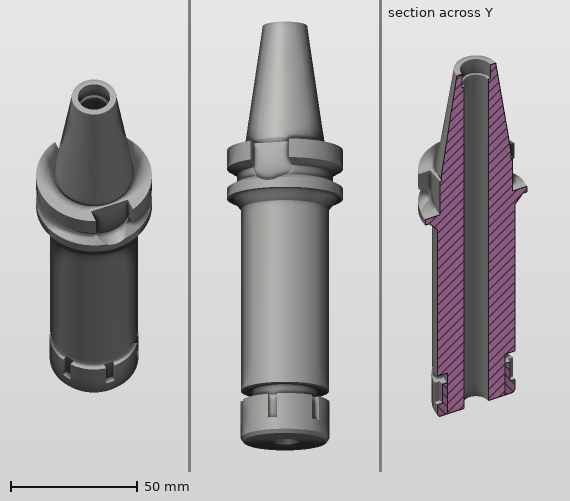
import cadquery as cq
import math

OVERALL_LENGTH = 168.4

TAPER_LENGTH = 48.3
TAPER_RATIO = 7 / 24
TAPER_TOP_DIAMETER = 17.7
GAUGE_TO_FLANGE = 2.0
RELIEF_DIAMETER = 31.0

FLANGE_DIAMETER = 46.0
UPPER_RIM_HEIGHT = 7.5
GROOVE_FLANK_ANGLE = 30
GROOVE_FLOOR_HEIGHT = 3.4
GROOVE_DIAMETER = 37.9
LOWER_RIM_HEIGHT = 4.0
SHOULDER_DIAMETER = 42.0
SHOULDER_HEIGHT = 4.2

KEYWAY_WIDTH = 15.8
KEYWAY_HEIGHT = 16.7
KEYWAY_FLOOR_OFFSET = 16.3

BODY_DIAMETER = 35.0
NOSE_DIAMETER = 26.3
NOSE_GAP = 4.5

BORE_DIAMETER = 10.6
COUNTERBORE_DIAMETER = 12.8
COUNTERBORE_DEPTH = 6.9

NUT_DIAMETER = 35.2
NUT_HEIGHT = 16.0
NUT_CHAMFER_WIDTH = 1.0
NUT_CHAMFER_HEIGHT = 1.5
SLOT_COUNT = 6
SLOT_WIDTH = 3.7
SLOT_HEIGHT = 9.6
SLOT_FLOOR_RADIUS = 15.3

gauge_diameter = TAPER_TOP_DIAMETER + TAPER_LENGTH * TAPER_RATIO
gauge_z = -TAPER_LENGTH
flange_top_z = gauge_z - GAUGE_TO_FLANGE
groove_depth = (FLANGE_DIAMETER - GROOVE_DIAMETER) / 2
groove_flank_height = groove_depth * math.tan(math.radians(GROOVE_FLANK_ANGLE))
groove_top_z = flange_top_z - UPPER_RIM_HEIGHT
groove_floor_top_z = groove_top_z - groove_flank_height
groove_floor_bottom_z = groove_floor_top_z - GROOVE_FLOOR_HEIGHT
groove_bottom_z = groove_floor_bottom_z - groove_flank_height
flange_bottom_z = groove_bottom_z - LOWER_RIM_HEIGHT
shoulder_bottom_z = flange_bottom_z - SHOULDER_HEIGHT
bottom_z = -OVERALL_LENGTH
nut_top_z = bottom_z + NUT_HEIGHT
body_bottom_z = nut_top_z + NOSE_GAP


def make_turned_blank():
    """Outside shape of the holder, turned about Z."""
    profile = [
        (0, 0),
        (TAPER_TOP_DIAMETER / 2, 0),
        (gauge_diameter / 2, gauge_z),
        (RELIEF_DIAMETER / 2, flange_top_z),
        (FLANGE_DIAMETER / 2, flange_top_z),
        (FLANGE_DIAMETER / 2, groove_top_z),
        (GROOVE_DIAMETER / 2, groove_floor_top_z),
        (GROOVE_DIAMETER / 2, groove_floor_bottom_z),
        (FLANGE_DIAMETER / 2, groove_bottom_z),
        (FLANGE_DIAMETER / 2, flange_bottom_z),
        (SHOULDER_DIAMETER / 2, flange_bottom_z),
        (BODY_DIAMETER / 2, shoulder_bottom_z),
        (BODY_DIAMETER / 2, body_bottom_z),
        (NOSE_DIAMETER / 2, body_bottom_z),
        (NOSE_DIAMETER / 2, bottom_z),
        (0, bottom_z),
    ]
    return cq.Workplane("XZ").polyline(profile).close().revolve(360, (0, 0, 0), (0, 1, 0))


def make_keyway_cutter():
    """Cutter for the keyway on the +X side: straight sides and a half-round lower end."""
    half_width = KEYWAY_WIDTH / 2
    keyway_bottom_z = flange_top_z - KEYWAY_HEIGHT
    arc_start_z = keyway_bottom_z + half_width
    return (
        cq.Workplane("YZ", origin=(KEYWAY_FLOOR_OFFSET, 0, 0))
        .moveTo(-half_width, flange_top_z)
        .lineTo(-half_width, arc_start_z)
        .threePointArc((0, keyway_bottom_z), (half_width, arc_start_z))
        .lineTo(half_width, flange_top_z)
        .close()
        .extrude(FLANGE_DIAMETER / 2)
    )


def make_holder():
    """Tool holder: taper, flange, body and nose in one piece, bored through."""
    holder = make_turned_blank()
    keyway = make_keyway_cutter()
    for angle in (0, 180):
        holder = holder.cut(keyway.rotate((0, 0, 0), (0, 0, 1), angle))
    bore = cq.Workplane("XY").circle(BORE_DIAMETER / 2).extrude(bottom_z)
    counterbore = cq.Workplane("XY").circle(COUNTERBORE_DIAMETER / 2).extrude(-COUNTERBORE_DEPTH)
    return holder.cut(bore).cut(counterbore)


def make_nut():
    """Ring nut around the nose, with spanner slots open at its upper face."""
    nut_radius = NUT_DIAMETER / 2
    nose_radius = NOSE_DIAMETER / 2
    profile = [
        (nose_radius, nut_top_z),
        (nut_radius, nut_top_z),
        (nut_radius, bottom_z + NUT_CHAMFER_HEIGHT),
        (nut_radius - NUT_CHAMFER_WIDTH, bottom_z),
        (nose_radius, bottom_z),
    ]
    nut = cq.Workplane("XZ").polyline(profile).close().revolve(360, (0, 0, 0), (0, 1, 0))
    slot = (
        cq.Workplane("XY")
        .box(nut_radius, SLOT_WIDTH, SLOT_HEIGHT, centered=(False, True, False))
        .translate((SLOT_FLOOR_RADIUS, 0, nut_top_z - SLOT_HEIGHT))
    )
    for index in range(SLOT_COUNT):
        angle = index * 360 / SLOT_COUNT
        nut = nut.cut(slot.rotate((0, 0, 0), (0, 0, 1), angle))
    return nut


holder = make_holder()
nut = make_nut()
result = cq.Compound.makeCompound([holder.val(), nut.val()])